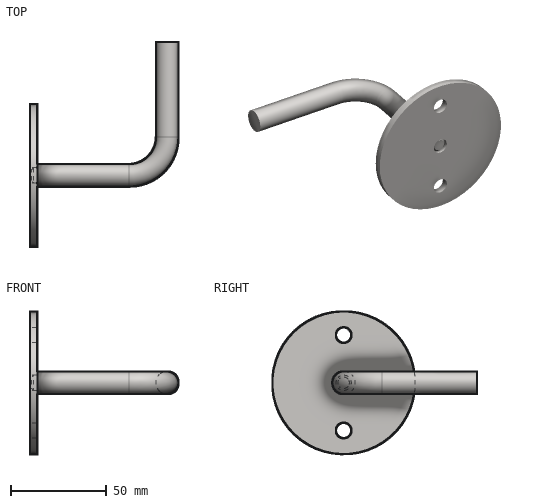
import cadquery as cq

plate_diameter = 75.0
plate_thickness = 4.0
screw_hole_diameter = 8.0
screw_hole_spacing = 50.0

rod_diameter = 12.0
bend_radius = 20.0
overall_length = 78.0
leg_end_y = 70.0

spigot_diameter = 8.0
spigot_chamfer = 1.0
spigot_recess = 1.0

leg_x = overall_length - rod_diameter / 2
bend_start_x = leg_x - bend_radius


def make_plate():
    disc = cq.Workplane("YZ").circle(plate_diameter / 2).extrude(plate_thickness)
    screw_holes = (
        cq.Workplane("YZ")
        .pushPoints([(0, -screw_hole_spacing / 2), (0, screw_hole_spacing / 2)])
        .circle(screw_hole_diameter / 2)
        .extrude(plate_thickness)
    )
    spigot_hole = cq.Workplane("YZ").circle(spigot_diameter / 2).extrude(plate_thickness)
    return disc.cut(screw_holes).cut(spigot_hole)


def make_bent_rod():
    straight = (
        cq.Workplane("YZ", origin=(plate_thickness, 0, 0))
        .circle(rod_diameter / 2)
        .extrude(bend_start_x - plate_thickness)
    )
    bend = (
        cq.Workplane("YZ", origin=(bend_start_x, 0, 0))
        .circle(rod_diameter / 2)
        .revolve(90, (bend_radius, 0), (bend_radius, 1))
    )
    leg = (
        cq.Workplane("XZ", origin=(leg_x, leg_end_y, 0))
        .circle(rod_diameter / 2)
        .extrude(leg_end_y - bend_radius)
    )
    spigot = (
        cq.Workplane("YZ", origin=(spigot_recess, 0, 0))
        .circle(spigot_diameter / 2)
        .extrude(plate_thickness - spigot_recess)
        .faces("<X")
        .chamfer(spigot_chamfer)
    )
    return straight.union(bend).union(leg).union(spigot)


plate = make_plate()
bent_rod = make_bent_rod()

result = cq.Compound.makeCompound([plate.val(), bent_rod.val()])